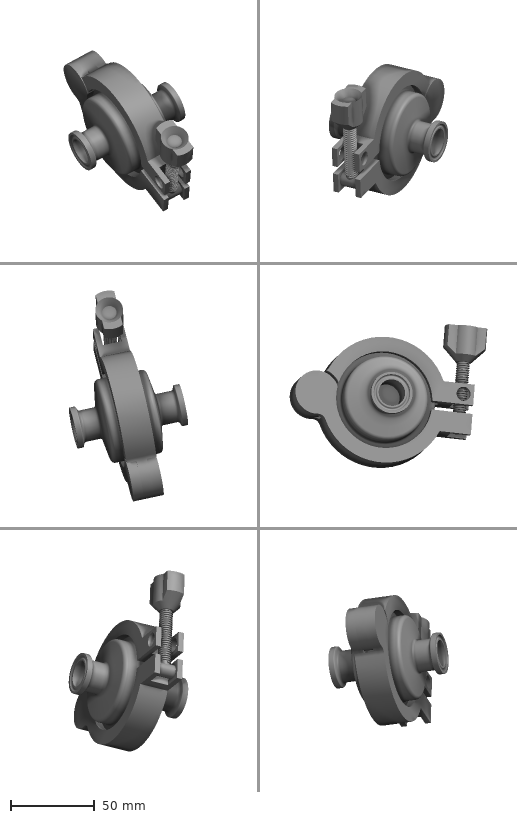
import cadquery as cq
import math

TOTAL_WIDTH = 67.1
BEVEL_ANGLE = 20.0
BEVEL_SLOPE = math.tan(math.radians(BEVEL_ANGLE))

SHELL_RADIUS = 25.5
FLANGE_RADIUS = 32.0
FLANGE_HALF_RIM = 3.5
FLANGE_RIM_ROUND = 1.6
FLANGE_ROOT_ROUND = 1.4
CONE_ANGLE = 10.0
SHOULDER_ROUND = 2.5
NECK_RADIUS = 9.5
NECK_START = 18.1
NECK_ROOT_ROUND = 1.4

FERRULE_RADIUS = 12.5
FERRULE_FACE = TOTAL_WIDTH / 2
FERRULE_RIM = 3.5
FERRULE_RIM_ROUND = 0.6
FERRULE_NECK_ROUND = 1.6
BORE_RADIUS = 8.0
BORE_END = 15.7
SEAL_OUTER_RADIUS = 11.1
SEAL_BOTTOM_RADIUS = 10.1
SEAL_DEPTH = 1.4
SEAL_ROUND = 0.88
LIP_RADIUS = 9.1
LIP_DROP = 0.4
LIP_ROUND = 0.6

CLAMP_TILT = 4.5
CLAMP_WIDTH = 18.4
CLAMP_RADIUS = 38.0
OPENING_RADIUS = 29.2
GROOVE_RADIUS = 34.5
JAW_GAP = 5.3

HINGE_X = -40.9
KNUCKLE_RADIUS = 13.1
KNUCKLE_CLEARANCE = 14.6
TONGUE_WIDTH = 6.2
HINGE_PIN_RADIUS = 4.5
HINGE_FILLET = 4.7

ARM_END = 53.8
ARM_OUTER_Z = 15.2
FORK_ROOT = 42.0
FORK_SLOT = 11.4
SCREW_X = 47.5
TRUNNION_Z = (ARM_OUTER_Z + JAW_GAP / 2) / 2
TRUNNION_RADIUS = 4.2

THREAD_RADIUS = 4.0
THREAD_ROOT_RADIUS = 3.4
THREAD_PITCH = 1.4
THREAD_TURNS = 24
THREAD_BOTTOM = -4.7
THREAD_FOOT = 1.2
THREAD_CREST = 0.4
THREAD_EMBED = 0.1
HEAD_BOTTOM = 29.5
HEAD_TOP = 50.7
HEAD_BOTTOM_RADIUS = 4.6
WING_RADIUS = 12.7
WING_BOTTOM = 37.9
WING_WIDTH = 11.4
HUB_RADIUS = 8.2
DISH_BOTTOM_RADIUS = 4.4
DISH_DEPTH = 3.9


def toward(start, end, distance):
    """The point at a distance from start on the way to end."""
    share = distance / math.dist(start, end)
    return tuple(a + share * (b - a) for a, b in zip(start, end))


def rounded_outline(corners):
    """A closed outline on the (Z, Y) plane from corners (radius, y, rounding)."""
    outline = cq.Workplane("ZY").moveTo(*corners[0][:2])
    for before, corner, after in zip(corners, corners[1:], corners[2:]):
        tip = corner[:2]
        rounding = corner[2]
        if rounding == 0:
            outline = outline.lineTo(*tip)
            continue
        leg_in = toward(tip, before[:2], 1.2)
        leg_out = toward(tip, after[:2], 1.2)
        half_angle = math.asin(math.dist(leg_in, leg_out) / 2.4)
        trim = rounding / math.tan(half_angle)
        to_centre = rounding / math.sin(half_angle)
        middle = ((leg_in[0] + leg_out[0]) / 2, (leg_in[1] + leg_out[1]) / 2)
        arc_start = toward(tip, before[:2], trim)
        arc_middle = toward(tip, middle, to_centre - rounding)
        arc_end = toward(tip, after[:2], trim)
        outline = outline.lineTo(*arc_start).threePointArc(arc_middle, arc_end)
    return outline.lineTo(*corners[-1][:2]).close()


def turned(outline):
    return outline.revolve(360, (0, 0, 0), (0, 1, 0))


def disc(radius, width, x=0.0, z=0.0):
    """A cylinder along Y, centred on the middle plane."""
    return cq.Workplane("XZ").center(x, z).circle(radius).extrude(width / 2, both=True)


def bevel_y(radius):
    """Distance of the flange bevel from the middle plane."""
    return FLANGE_HALF_RIM + (FLANGE_RADIUS - radius) * BEVEL_SLOPE


def make_housing():
    shoulder_y = NECK_START - (SHELL_RADIUS - NECK_RADIUS) * math.tan(math.radians(CONE_ANGLE))
    ferrule_rim_y = FERRULE_FACE - FERRULE_RIM
    neck_end = ferrule_rim_y - (FERRULE_RADIUS - NECK_RADIUS) * BEVEL_SLOPE
    lip_y = FERRULE_FACE - LIP_DROP
    half = [
        (FLANGE_RADIUS, FLANGE_HALF_RIM, FLANGE_RIM_ROUND),
        (SHELL_RADIUS, bevel_y(SHELL_RADIUS), FLANGE_ROOT_ROUND),
        (SHELL_RADIUS, shoulder_y, SHOULDER_ROUND),
        (NECK_RADIUS, NECK_START, NECK_ROOT_ROUND),
        (NECK_RADIUS, neck_end, FERRULE_NECK_ROUND),
        (FERRULE_RADIUS, ferrule_rim_y, FERRULE_RIM_ROUND),
        (FERRULE_RADIUS, FERRULE_FACE, 0),
        (SEAL_OUTER_RADIUS, FERRULE_FACE, 0),
        (SEAL_BOTTOM_RADIUS, FERRULE_FACE - SEAL_DEPTH, SEAL_ROUND),
        (LIP_RADIUS, lip_y, LIP_ROUND),
        (BORE_RADIUS, lip_y, 0),
        (BORE_RADIUS, BORE_END, 0),
        (0, BORE_END, 0),
    ]
    other_half = [(radius, -y, rounding) for radius, y, rounding in reversed(half)]
    return turned(rounded_outline(other_half + half))


def hinge_web():
    """Concave fillet between the knuckle and the lower side of the ring."""
    ring_reach = CLAMP_RADIUS + HINGE_FILLET
    knuckle_reach = KNUCKLE_RADIUS + HINGE_FILLET
    centre_x = (HINGE_X**2 + ring_reach**2 - knuckle_reach**2) / (2 * HINGE_X)
    centre = (centre_x, -math.sqrt(ring_reach**2 - centre_x**2))
    hinge = (HINGE_X, 0)
    ring_centre = (0, 0)
    middle = toward(centre, (HINGE_X / 2, 0), HINGE_FILLET)
    for_knuckle = toward(centre, hinge, HINGE_FILLET)
    for_ring = toward(centre, ring_centre, HINGE_FILLET)
    return (
        cq.Workplane("XZ")
        .moveTo(*hinge)
        .lineTo(*for_knuckle)
        .threePointArc(middle, for_ring)
        .lineTo(*ring_centre)
        .close()
        .extrude(CLAMP_WIDTH / 2, both=True)
    )


def make_lower_jaw():
    """Half ring with its arm and hinge web, before the hinge is cut."""
    below_gap = cq.Workplane("XY").box(
        4 * CLAMP_RADIUS, CLAMP_WIDTH, CLAMP_RADIUS, centered=(True, True, False)
    ).translate((0, 0, -CLAMP_RADIUS - JAW_GAP / 2))
    arm_height = ARM_OUTER_Z - JAW_GAP / 2
    arm = cq.Workplane("XY").box(
        ARM_END, CLAMP_WIDTH, arm_height, centered=(False, True, False)
    ).translate((0, 0, -ARM_OUTER_Z))
    slot = cq.Workplane("XY").box(
        ARM_END, FORK_SLOT, arm_height, centered=(False, True, False)
    ).translate((FORK_ROOT, 0, -ARM_OUTER_Z))
    trunnion_hole = disc(TRUNNION_RADIUS, CLAMP_WIDTH, SCREW_X, -TRUNNION_Z)
    half_ring = disc(CLAMP_RADIUS, CLAMP_WIDTH).intersect(below_gap)
    return half_ring.union(hinge_web()).union(arm).cut(slot).cut(trunnion_hole)


def ring_opening():
    """Space inside the ring: two round mouths and the bevelled groove that grips the flange."""
    mouth_y = CLAMP_WIDTH / 2
    half = [
        (GROOVE_RADIUS, bevel_y(GROOVE_RADIUS), 0),
        (OPENING_RADIUS, bevel_y(OPENING_RADIUS), 0),
        (OPENING_RADIUS, mouth_y, 0),
        (0, mouth_y, 0),
    ]
    other_half = [(radius, -y, rounding) for radius, y, rounding in reversed(half)]
    return turned(rounded_outline(other_half + half))


def make_jaws():
    """Lower jaw with two ears and upper jaw with the tongue between them, joined by the hinge."""
    lower = make_lower_jaw()
    upper = lower.mirror("XY")
    tongue = disc(KNUCKLE_RADIUS, TONGUE_WIDTH, HINGE_X)
    ears = disc(KNUCKLE_RADIUS, CLAMP_WIDTH, HINGE_X).cut(tongue)
    tongue_space = disc(KNUCKLE_CLEARANCE, TONGUE_WIDTH, HINGE_X)
    ear_space = disc(KNUCKLE_CLEARANCE, CLAMP_WIDTH, HINGE_X).cut(tongue_space)
    pin_hole = disc(HINGE_PIN_RADIUS, CLAMP_WIDTH, HINGE_X)
    opening = ring_opening()
    lower = lower.cut(tongue_space).union(ears).cut(opening).cut(pin_hole)
    upper = upper.cut(ear_space).union(tongue).cut(opening).cut(pin_hole)
    return lower.union(upper, clean=False)


def make_screw():
    """Shank from the trunnion axis up to the head, wound with a helical thread ridge."""
    shank = (
        cq.Workplane("XY")
        .workplane(offset=-TRUNNION_Z)
        .circle(THREAD_ROOT_RADIUS)
        .extrude(HEAD_BOTTOM + TRUNNION_Z)
    )
    ridge_foot = THREAD_ROOT_RADIUS - THREAD_EMBED
    path = cq.Wire.makeHelix(
        THREAD_PITCH, THREAD_TURNS * THREAD_PITCH, THREAD_ROOT_RADIUS, cq.Vector(0, 0, THREAD_BOTTOM)
    )
    ridge = (
        cq.Workplane("XZ")
        .moveTo(ridge_foot, THREAD_BOTTOM - THREAD_FOOT / 2)
        .lineTo(THREAD_RADIUS, THREAD_BOTTOM - THREAD_CREST / 2)
        .lineTo(THREAD_RADIUS, THREAD_BOTTOM + THREAD_CREST / 2)
        .lineTo(ridge_foot, THREAD_BOTTOM + THREAD_FOOT / 2)
        .close()
        .sweep(cq.Workplane("XY").newObject([path]), isFrenet=True)
    )
    return shank.union(ridge)


def make_head():
    """Round hub with two wings, tapered below and dished on top."""
    height = HEAD_TOP - HEAD_BOTTOM
    base = cq.Workplane("XY").workplane(offset=HEAD_BOTTOM)
    wings = base.rect(2 * WING_RADIUS, WING_WIDTH).extrude(height)
    hub = base.circle(HUB_RADIUS).extrude(height)
    envelope = (
        cq.Workplane("XZ")
        .moveTo(0, HEAD_BOTTOM)
        .lineTo(HEAD_BOTTOM_RADIUS, HEAD_BOTTOM)
        .lineTo(WING_RADIUS, WING_BOTTOM)
        .lineTo(WING_RADIUS, HEAD_TOP)
        .lineTo(0, HEAD_TOP)
        .close()
        .revolve(360, (0, 0, 0), (0, 1, 0))
    )
    dish = (
        cq.Workplane("XZ")
        .moveTo(0, HEAD_TOP)
        .lineTo(HUB_RADIUS, HEAD_TOP)
        .lineTo(DISH_BOTTOM_RADIUS, HEAD_TOP - DISH_DEPTH)
        .lineTo(0, HEAD_TOP - DISH_DEPTH)
        .close()
        .revolve(360, (0, 0, 0), (0, 1, 0))
    )
    return hub.union(wings).intersect(envelope).cut(dish)


def make_clamp():
    """Jaws, hinge pin, trunnion and wing screw as one piece, tilted into place."""
    hinge_pin = disc(HINGE_PIN_RADIUS, CLAMP_WIDTH, HINGE_X)
    trunnion = disc(TRUNNION_RADIUS, CLAMP_WIDTH, SCREW_X, -TRUNNION_Z)
    wing_screw = make_screw().union(make_head()).translate((SCREW_X, 0, 0))
    clamp = make_jaws()
    for part in (hinge_pin, trunnion, wing_screw):
        clamp = clamp.union(part, clean=False)
    return clamp.rotate((0, 0, 0), (0, 1, 0), CLAMP_TILT)


housing = make_housing()
clamp = make_clamp()
result = cq.Compound.makeCompound([housing.val(), *clamp.solids().vals()])